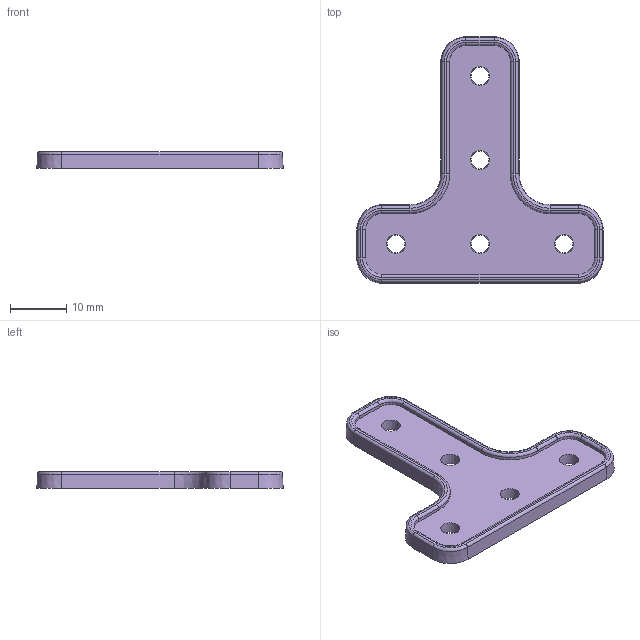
import cadquery as cq
import math

hole_pitch = 15.0
edge_margin = 7.0
hole_diameter = 3.2

corner_radius = 4.5
inside_radius = 5.5

thickness = 3.0
recess_depth = 1.0
draft_angle = 3.0
rim_fillet = 0.5
rim_flat_width = 0.42

floor_height = thickness - recess_depth
wall_lean = thickness * math.tan(math.radians(draft_angle))
recess_lean = recess_depth * math.tan(math.radians(draft_angle))
fillet_setback = rim_fillet * math.tan(math.radians(90 - draft_angle) / 2)
rim_width = rim_flat_width + 2 * fillet_setback
floor_inset = wall_lean + rim_width + recess_lean


def t_outline(inset, height):
    """T outline with rounded corners, moved inward from the base outline by inset."""
    half_leg = edge_margin - inset
    half_bar = hole_pitch + edge_margin - inset
    bar_top = edge_margin - inset
    bar_bottom = -bar_top
    leg_top = 2 * hole_pitch + edge_margin - inset
    outer = corner_radius - inset
    inner = inside_radius + inset

    def convex(sketch, end):
        return sketch.radiusArc(end, -outer)

    def concave(sketch, end):
        return sketch.radiusArc(end, inner)

    sketch = cq.Workplane("XY").workplane(offset=height)
    sketch = sketch.moveTo(-half_bar + outer, bar_bottom).lineTo(half_bar - outer, bar_bottom)
    sketch = convex(sketch, (half_bar, bar_bottom + outer)).lineTo(half_bar, bar_top - outer)
    sketch = convex(sketch, (half_bar - outer, bar_top)).lineTo(half_leg + inner, bar_top)
    sketch = concave(sketch, (half_leg, bar_top + inner)).lineTo(half_leg, leg_top - outer)
    sketch = convex(sketch, (half_leg - outer, leg_top)).lineTo(-half_leg + outer, leg_top)
    sketch = convex(sketch, (-half_leg, leg_top - outer)).lineTo(-half_leg, bar_top + inner)
    sketch = concave(sketch, (-half_leg - inner, bar_top)).lineTo(-half_bar + outer, bar_top)
    sketch = convex(sketch, (-half_bar, bar_top - outer)).lineTo(-half_bar, bar_bottom + outer)
    return convex(sketch, (-half_bar + outer, bar_bottom)).close()


def drafted_plate():
    """Solid T plate whose side walls lean inward towards the top."""
    return t_outline(0, 0).extrude(thickness, taper=draft_angle)


def recess_cutter():
    """Shallow T pocket inside the rim, opening outward towards the top."""
    return t_outline(floor_inset, floor_height).extrude(recess_depth, taper=-draft_angle)


def hole_cutters():
    """Drafted through holes: three along the bar and two more up the leg."""
    centres = [(step * hole_pitch, 0) for step in (-1, 0, 1)]
    centres += [(0, step * hole_pitch) for step in (1, 2)]
    circles = cq.Workplane("XY").pushPoints(centres).circle(hole_diameter / 2)
    return circles.extrude(thickness, taper=-draft_angle)


rimmed_plate = drafted_plate().cut(recess_cutter())
rounded_plate = rimmed_plate.faces(">Z").edges().fillet(rim_fillet)
result = rounded_plate.cut(hole_cutters())